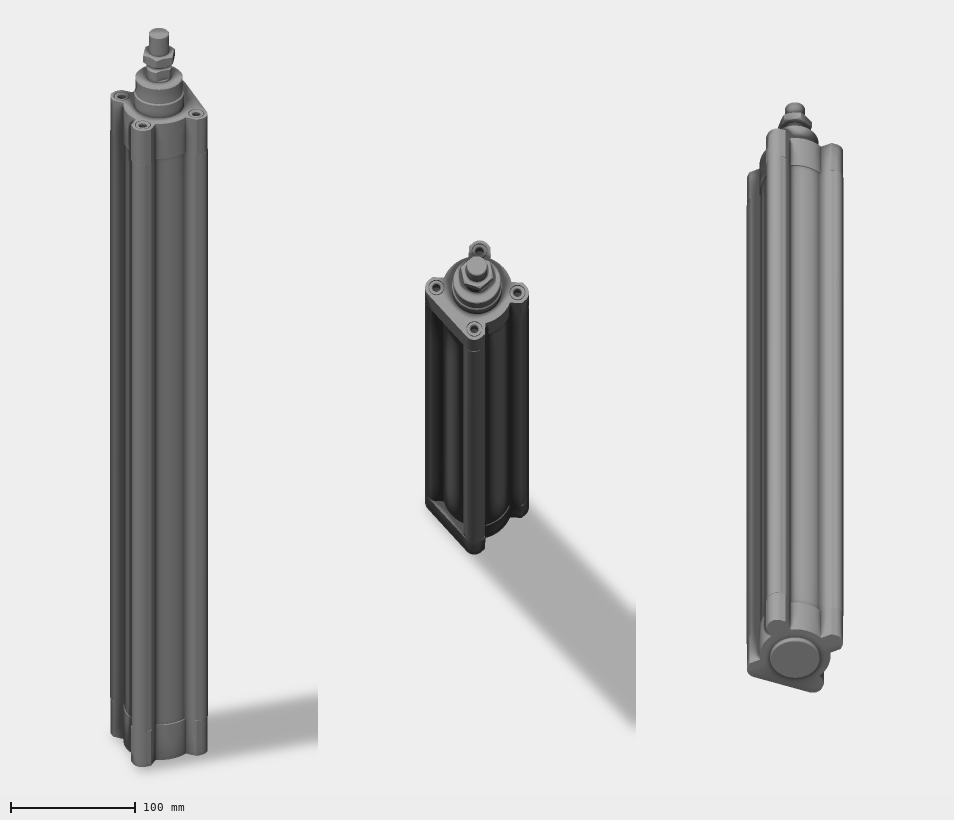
import cadquery as cq
import math

TOTAL_HEIGHT = 678.0
BOTTOM_PILOT_HEIGHT = 4.0
CAP_HEIGHT = 33.0
ROD_REACH = 68.5
THREAD_LENGTH = 32.0
COLLAR_HEIGHT = 27.0
COLLAR_FOOT_HEIGHT = 13.0

CAP_FACE_Z = TOTAL_HEIGHT - ROD_REACH
BARREL_TOP_Z = CAP_FACE_Z - CAP_HEIGHT
BARREL_BOTTOM_Z = BOTTOM_PILOT_HEIGHT + CAP_HEIGHT
COLLAR_TOP_Z = CAP_FACE_Z + COLLAR_HEIGHT
SHOULDER_Z = TOTAL_HEIGHT - THREAD_LENGTH

WIDTH = 64.0
HALF_WIDTH = WIDTH / 2
CAP_SIDE_DIAMETER = 57.0
BARREL_SIDE_DIAMETER = 55.0
CAP_SIDE_RADIUS = CAP_SIDE_DIAMETER / 2
BARREL_SIDE_RADIUS = BARREL_SIDE_DIAMETER / 2
WALL_DROP = 12.0
CAP_BOSS_RADIUS = 8.0
CAP_BOSS_OFFSET = HALF_WIDTH - CAP_BOSS_RADIUS
CAP_SHOULDER = HALF_WIDTH - WALL_DROP
BARREL_BOSS_RADIUS = 7.5
BARREL_BOSS_OFFSET = HALF_WIDTH - BARREL_BOSS_RADIUS
BARREL_BOSS_OVERRUN = 17.0
BARREL_SHOULDER = 19.0
BARREL_SHOULDER_FILLET = 3.5
BARREL_ROOT_FILLET = 2.0

PILOT_DIAMETER = 40.0
EDGE_CHAMFER = 1.0
COLLAR_STEP = 1.0
WAIST_DEPTH = 0.35
ROD_DIAMETER = 20.0
THREAD_DIAMETER = 16.0
RELIEF_DIAMETER = 13.0
RELIEF_TAPER = 4.0
TIP_DIAMETER = 15.0
SHOULDER_CHAMFER_HEIGHT = 2.0
FLATS_WIDTH = 17.0
FLATS_CLEARANCE = 1.5
FLATS_BOTTOM_Z = COLLAR_TOP_Z + FLATS_CLEARANCE
RELIEF_Z = SHOULDER_Z + SHOULDER_CHAMFER_HEIGHT
NUT_WIDTH = 24.0
NUT_THICKNESS = 8.0
NUT_GAP = 6.0
NUT_BOTTOM_Z = SHOULDER_Z + NUT_GAP
NUT_CHAMFER_ANGLE = 30.0
HALF_FLAT_ANGLE = 30.0

SCREW_OFFSET = 23.0
SCREW_RECESS_DIAMETER = 13.0
SCREW_HEAD_DIAMETER = 11.5
SCREW_RECESS_DEPTH = 2.0
SCREW_HOLE_DIAMETER = 6.65
SCREW_HOLE_MOUTH_DIAMETER = 8.0
SCREW_HOLE_DEPTH = 10.0
DRILL_POINT_ANGLE = 118.0

EDGE_TOLERANCE = 0.01


def turned(profile):
    """Solid of revolution about Z from (radius, z) points."""
    return cq.Workplane("XZ").polyline(profile).close().revolve(360, (0, 0, 0), (0, 1, 0))


def quarter_turned(point, turns):
    """Point turned about the axis by a number of right angles."""
    x, y = point
    for _ in range(turns):
        x, y = -y, x
    return x, y


def corner_boss_prism(bottom_z, height, side_radius, shoulder, boss_offset, boss_radius, overrun=0.0):
    """Prism of four round corner bosses whose 45 degree walls run down to bulging sides.

    The wall ends at `shoulder`, measured from the middle of a side, and a straight stretch
    joins it to the boss arc, which turns `overrun` degrees beyond a quarter at each end.
    """
    foot_x = (math.sqrt(2 * side_radius**2 - WALL_DROP**2) - WALL_DROP) / 2
    foot_y = -foot_x - WALL_DROP
    shoulder_y = -shoulder - WALL_DROP
    angle = math.radians(overrun)
    boss_x = boss_offset - boss_radius * math.sin(angle)
    boss_y = -boss_offset - boss_radius * math.cos(angle)
    boss_tip = boss_offset + boss_radius * math.sqrt(0.5)

    outline = cq.Workplane("XY", origin=(0, 0, bottom_z)).moveTo(-foot_x, foot_y)
    for turns in range(4):
        side_middle, foot, wall_top, boss_start, boss_middle, boss_end, next_wall_top, next_foot = (
            quarter_turned(point, turns)
            for point in (
                (0, -side_radius),
                (foot_x, foot_y),
                (shoulder, shoulder_y),
                (boss_x, boss_y),
                (boss_tip, -boss_tip),
                (-boss_y, -boss_x),
                (-shoulder_y, -shoulder),
                (-foot_y, -foot_x),
            )
        )
        outline = (
            outline
            .threePointArc(side_middle, foot)
            .lineTo(*wall_top)
            .lineTo(*boss_start)
            .threePointArc(boss_middle, boss_end)
            .lineTo(*next_wall_top)
            .lineTo(*next_foot)
        )
    return outline.close().extrude(height)


def upright_edges_at(body, radius):
    """Edges parallel to the axis that lie at one distance from it."""
    return body.edges("|Z").filter(
        lambda edge: abs(math.hypot(edge.Center().x, edge.Center().y) - radius) < EDGE_TOLERANCE
    )


def cap(bottom_z):
    """End cap whose +Y side is filled out to one flat face."""
    body = corner_boss_prism(
        bottom_z,
        CAP_HEIGHT,
        CAP_SIDE_RADIUS,
        CAP_SHOULDER,
        CAP_BOSS_OFFSET,
        CAP_BOSS_RADIUS,
    )
    port_side = cq.Workplane("XY").box(
        2 * CAP_BOSS_OFFSET, HALF_WIDTH, CAP_HEIGHT, centered=(True, False, False)
    ).translate((0, 0, bottom_z))
    return body.union(port_side).clean()


def barrel():
    """Long extruded middle, with softened shoulders and roots along its boss walls."""
    body = corner_boss_prism(
        BARREL_BOTTOM_Z,
        BARREL_TOP_Z - BARREL_BOTTOM_Z,
        BARREL_SIDE_RADIUS,
        BARREL_SHOULDER,
        BARREL_BOSS_OFFSET,
        BARREL_BOSS_RADIUS,
        BARREL_BOSS_OVERRUN,
    )
    shoulder_distance = math.hypot(BARREL_SHOULDER, BARREL_SHOULDER + WALL_DROP)
    body = upright_edges_at(body, shoulder_distance).fillet(BARREL_SHOULDER_FILLET)
    return upright_edges_at(body, BARREL_SIDE_RADIUS).fillet(BARREL_ROOT_FILLET)


def collar():
    """Collar around the rod: a chamfered foot, then a faintly waisted neck."""
    foot = PILOT_DIAMETER / 2
    neck = foot - COLLAR_STEP
    neck_bottom = CAP_FACE_Z + COLLAR_FOOT_HEIGHT
    neck_top = COLLAR_TOP_Z - EDGE_CHAMFER
    return (
        cq.Workplane("XZ")
        .moveTo(0, CAP_FACE_Z)
        .lineTo(foot, CAP_FACE_Z)
        .lineTo(foot, neck_bottom - COLLAR_STEP)
        .lineTo(neck, neck_bottom)
        .threePointArc((neck - WAIST_DEPTH, (neck_bottom + neck_top) / 2), (neck, neck_top))
        .lineTo(neck - EDGE_CHAMFER, COLLAR_TOP_Z)
        .lineTo(0, COLLAR_TOP_Z)
        .close()
        .revolve(360, (0, 0, 0), (0, 1, 0))
    )


def screw_cut():
    """Ring around a flush screw head and the drilled hole in the head, at the origin."""
    mouth = SCREW_HOLE_MOUTH_DIAMETER / 2
    hole = SCREW_HOLE_DIAMETER / 2
    ring = (
        cq.Workplane("XY")
        .circle(SCREW_RECESS_DIAMETER / 2)
        .circle(SCREW_HEAD_DIAMETER / 2)
        .extrude(-SCREW_RECESS_DEPTH)
    )
    point_depth = hole / math.tan(math.radians(DRILL_POINT_ANGLE / 2))
    drilled = turned([
        (0, 0),
        (mouth, 0),
        (hole, hole - mouth),
        (hole, -SCREW_HOLE_DEPTH),
        (0, -SCREW_HOLE_DEPTH - point_depth),
    ])
    return ring.union(drilled)


def make_housing():
    pilot = (
        cq.Workplane("XY")
        .circle(PILOT_DIAMETER / 2)
        .extrude(BOTTOM_PILOT_HEIGHT)
        .faces("<Z")
        .chamfer(EDGE_CHAMFER)
    )
    body = pilot.union(cap(BOTTOM_PILOT_HEIGHT)).union(barrel()).union(cap(BARREL_TOP_Z)).union(collar())
    for x in (-SCREW_OFFSET, SCREW_OFFSET):
        for y in (-SCREW_OFFSET, SCREW_OFFSET):
            body = body.cut(screw_cut().translate((x, y, CAP_FACE_Z)))
    rod_bore = (
        cq.Workplane("XY", origin=(0, 0, BARREL_TOP_Z))
        .circle(ROD_DIAMETER / 2)
        .extrude(COLLAR_TOP_Z - BARREL_TOP_Z)
    )
    return body.cut(rod_bore)


def make_rod():
    """Piston rod with wrench flats, a thread relief and a chamfered thread."""
    rod = ROD_DIAMETER / 2
    thread = THREAD_DIAMETER / 2
    relief = RELIEF_DIAMETER / 2
    tip = TIP_DIAMETER / 2
    tip_chamfer = thread - tip
    body = turned([
        (0, BARREL_TOP_Z),
        (rod, BARREL_TOP_Z),
        (rod, SHOULDER_Z),
        (relief, RELIEF_Z),
        (thread, RELIEF_Z + RELIEF_TAPER),
        (thread, TOTAL_HEIGHT - tip_chamfer),
        (tip, TOTAL_HEIGHT),
        (0, TOTAL_HEIGHT),
    ])
    for side in (-1, 1):
        flat = cq.Workplane("XY").box(
            ROD_DIAMETER, 2 * ROD_DIAMETER, RELIEF_Z - FLATS_BOTTOM_Z, centered=(True, True, False)
        ).translate((side * (FLATS_WIDTH + ROD_DIAMETER) / 2, 0, FLATS_BOTTOM_Z))
        body = body.cut(flat)
    return body


def make_nut():
    """Hexagon nut with flats facing X and both ends chamfered down to the flats."""
    flat = NUT_WIDTH / 2
    corner = flat / math.cos(math.radians(HALF_FLAT_ANGLE))
    drop = (corner - flat) * math.tan(math.radians(NUT_CHAMFER_ANGLE))
    hexagon = (
        cq.Workplane("XY")
        .polygon(6, 2 * corner)
        .extrude(NUT_THICKNESS)
        .rotate((0, 0, 0), (0, 0, 1), HALF_FLAT_ANGLE)
    )
    chamfers = turned([
        (0, 0),
        (flat, 0),
        (corner, drop),
        (corner, NUT_THICKNESS - drop),
        (flat, NUT_THICKNESS),
        (0, NUT_THICKNESS),
    ])
    thread = cq.Workplane("XY").circle(THREAD_DIAMETER / 2).extrude(NUT_THICKNESS)
    return hexagon.intersect(chamfers).cut(thread).translate((0, 0, NUT_BOTTOM_Z))


housing = make_housing()
rod = make_rod()
nut = make_nut()

result = cq.Compound.makeCompound([housing.val(), rod.val(), nut.val()])